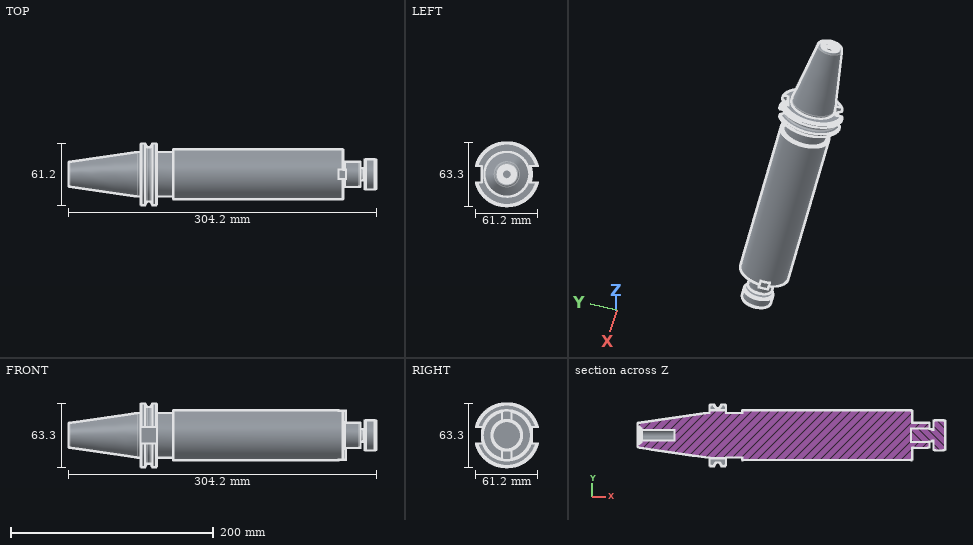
import cadquery as cq
import math


taper_large_diameter = 44.5
taper_length = 68.5
taper_ratio = 7 / 24
taper_small_diameter = taper_large_diameter - taper_length * taper_ratio
taper_end_round = 1.8

bore_mouth_diameter = 18.0
bore_pilot_diameter = 16.7
bore_pilot_depth = 1.5
bore_thread_diameter = 13.5
bore_thread_depth = 4.0
bore_neck_diameter = 11.3
bore_bottom_diameter = 10.0
bore_depth = 36.5

flange_diameter = 63.3
flange_start = 71.2
flange_end = 87.5
flange_edge_chamfer = 1.2
groove_center = 79.5
groove_floor_diameter = 56.3
groove_floor_width = 3.5
groove_floor_round = 1.0
groove_wall_angle = 30.0
slot_width = 16.0
shallow_slot_floor = 22.8
deep_slot_floor = 25.0

collar_diameter = 44.5
body_diameter = 49.5
body_start = 103.5
body_end = 271.7
body_rear_chamfer = 0.5
body_front_chamfer = 1.0

spigot_diameter = 25.3
spigot_end = 288.7
spigot_chamfer_length = 1.8
spigot_chamfer_height = 0.3
relief_diameter = 25.0
relief_width = 1.5

key_sides = (1, -1)
key_width = 9.5
key_start = 266.8
key_end = 274.5
key_inner = 13.0
key_outer = 24.3

screw_diameter = 12.8
screw_hole_depth = 18.3
screw_end = 304.2
head_diameter = 30.0
head_start = 292.5
head_chamfer_length = 1.5
head_chamfer_height = 1.0
neck_diameter = 11.3
neck_width = 1.0


def turned(profile):
    """Revolve a closed (X, radius) profile about the X axis."""
    return cq.Workplane("XY").polyline(profile).close().revolve(360, (0, 0, 0), (1, 0, 0))


def cylinder(start, end, diameter):
    """Cylinder along the X axis."""
    return cq.Workplane("YZ", origin=(start, 0, 0)).circle(diameter / 2).extrude(end - start)


def box_between(x_range, y_range, z_range):
    """Block given by its lower and upper limit along each axis."""
    sizes = [high - low for low, high in (x_range, y_range, z_range)]
    corner = (x_range[0], y_range[0], z_range[0])
    return cq.Workplane("XY").box(*sizes, centered=False).translate(corner)


def make_taper():
    shank = turned([
        (0, 0),
        (0, taper_small_diameter / 2),
        (taper_length, taper_large_diameter / 2),
        (flange_start, taper_large_diameter / 2),
        (flange_start, 0),
    ])
    return shank.faces("<X").edges().fillet(taper_end_round)


def make_bore():
    mouth_depth = (bore_mouth_diameter - bore_pilot_diameter) / 2
    pilot_cone = (bore_pilot_diameter - bore_thread_diameter) / 2
    neck_cone = (bore_neck_diameter - bore_bottom_diameter) / 2
    return turned([
        (0, 0),
        (0, bore_mouth_diameter / 2),
        (mouth_depth, bore_pilot_diameter / 2),
        (bore_pilot_depth, bore_pilot_diameter / 2),
        (bore_pilot_depth + pilot_cone, bore_thread_diameter / 2),
        (bore_thread_depth, bore_thread_diameter / 2),
        (bore_thread_depth, bore_neck_diameter / 2),
        (bore_thread_depth + neck_cone, bore_bottom_diameter / 2),
        (bore_depth, bore_bottom_diameter / 2),
        (bore_depth, 0),
    ])


def make_flange():
    rim_radius = flange_diameter / 2
    floor_radius = groove_floor_diameter / 2
    floor_half = groove_floor_width / 2
    mouth_half = floor_half + (rim_radius - floor_radius) * math.tan(math.radians(groove_wall_angle))
    flange = cylinder(flange_start, flange_end, flange_diameter)
    flange = flange.edges().chamfer(flange_edge_chamfer)
    groove = turned([
        (groove_center - mouth_half, rim_radius),
        (groove_center - floor_half, floor_radius),
        (groove_center + floor_half, floor_radius),
        (groove_center + mouth_half, rim_radius),
    ])
    groove = groove.edges(cq.selectors.RadiusNthSelector(0)).fillet(groove_floor_round)
    return flange.cut(groove)


def make_slots():
    flange_span = (flange_start, flange_end)
    slot_span = (-slot_width / 2, slot_width / 2)
    shallow = box_between(flange_span, (-flange_diameter, -shallow_slot_floor), slot_span)
    deep = box_between(flange_span, (deep_slot_floor, flange_diameter), slot_span)
    return shallow.union(deep)


def make_body():
    collar = cylinder(flange_end, body_start, collar_diameter)
    body = cylinder(body_start, body_end, body_diameter)
    body = body.faces("<X").edges().chamfer(body_rear_chamfer)
    body = body.faces(">X").edges().chamfer(body_front_chamfer)
    return collar.union(body)


def make_spigot():
    spigot_radius = spigot_diameter / 2
    return turned([
        (body_end, 0),
        (body_end, relief_diameter / 2),
        (body_end + relief_width, relief_diameter / 2),
        (body_end + relief_width, spigot_radius),
        (spigot_end - spigot_chamfer_length, spigot_radius),
        (spigot_end, spigot_radius - spigot_chamfer_height),
        (spigot_end, 0),
    ])


def make_key(side):
    """Drive key; side is 1 above the axis and -1 below it."""
    z_range = sorted((side * key_inner, side * key_outer))
    return box_between((key_start, key_end), (-key_width / 2, key_width / 2), z_range)


def make_key_seat(side):
    """Slot in the body, open at its front and outside, that holds a key."""
    z_range = sorted((side * key_inner, side * body_diameter))
    return box_between((key_start, body_end), (-key_width / 2, key_width / 2), z_range)


def make_screw():
    shank_radius = screw_diameter / 2
    neck_start = head_start - neck_width
    head_radius = head_diameter / 2
    chamfer_radius = head_radius - head_chamfer_height
    return turned([
        (spigot_end - screw_hole_depth, 0),
        (spigot_end - screw_hole_depth, shank_radius),
        (neck_start, shank_radius),
        (neck_start, neck_diameter / 2),
        (head_start, neck_diameter / 2),
        (head_start, chamfer_radius),
        (head_start + head_chamfer_length, head_radius),
        (screw_end - head_chamfer_length, head_radius),
        (screw_end, chamfer_radius),
        (screw_end, 0),
    ])


def make_holder():
    holder = make_taper().union(make_flange()).union(make_body()).union(make_spigot())
    holder = holder.cut(make_slots()).cut(make_bore())
    for side in key_sides:
        holder = holder.cut(make_key_seat(side))
    return holder.cut(cylinder(spigot_end - screw_hole_depth, spigot_end, screw_diameter))


holder = make_holder()
keys = [make_key(side) for side in key_sides]
screw = make_screw()

result = cq.Compound.makeCompound([
    holder.val(),
    *[key.val() for key in keys],
    screw.val(),
])